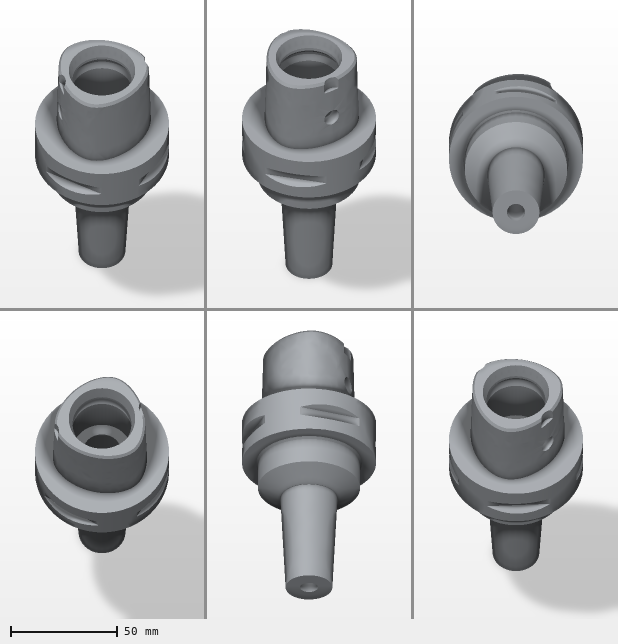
import cadquery as cq
import math

total_height = 128.0
stem_top_z = 48.5
shoulder_z = 54.7
groove_bottom_z = 67.0
flange_bottom_z = 68.1
flange_top_z = 90.1

stem_end_radius = 11.0
stem_top_radius = 13.5
cone_end_radius = 13.7
collar_radius = 24.0
collar_flare = 0.8
flange_radius = 31.5

polygon_base_radius = 22.1
polygon_taper_ratio = 1 / 40
lobe_height = 1.3
lobe_count = 3
points_per_curve = 48
polygon_chamfer_width = 1.0
polygon_chamfer_height = 1.3

mouth_radius = 15.6
lip_radius = 13.8
lip_start_depth = 6.3
lip_end_depth = 7.8
undercut_radius = 15.9
undercut_start_depth = 10.2
undercut_end_depth = 11.6
chamber_radius = 14.1
chamber_start_depth = 14.3
chamber_end_depth = 37.9
lower_bore_radius = 9.1
lower_bore_end_depth = 57.6
through_radius = 4.2

notch_depth = 6.4
notch_width = 8.2
notch_radius = 5.1
notch_front_y = -17.9
notch_back_y = 21.0

side_hole_radius = 4.1
side_hole_z = 105.6
side_hole_floor_y = -14.7

gripper_z = 78.1
gripper_floor_distance = 27.8
gripper_floor_height = 4.2
gripper_wall_angle = 26.0
gripper_angles = (45, 135, 225, 315)


def turned_body():
    """Stem, shoulder cone, collar and flange as one revolved profile."""
    profile = [
        (0, 0),
        (stem_end_radius, 0),
        (stem_top_radius, stem_top_z),
        (cone_end_radius, stem_top_z),
        (collar_radius, shoulder_z),
        (collar_radius, groove_bottom_z),
        (collar_radius + collar_flare, flange_bottom_z),
        (flange_radius, flange_bottom_z),
        (flange_radius, flange_top_z),
        (0, flange_top_z),
    ]
    return cq.Workplane("XZ").polyline(profile).close().revolve(360, (0, 0), (0, 1))


def polygon_wire(mean_radius, z):
    """Closed constant-width curve with three lobes, one of them toward +Y."""

    def point(angle):
        lobe_angle = lobe_count * (angle - math.pi / 2)
        reach = mean_radius + lobe_height * math.cos(lobe_angle)
        slope = -lobe_count * lobe_height * math.sin(lobe_angle)
        x = reach * math.cos(angle) - slope * math.sin(angle)
        y = reach * math.sin(angle) + slope * math.cos(angle)
        return cq.Vector(x, y, z)

    angle_step = 2 * math.pi / points_per_curve
    points = [point(i * angle_step) for i in range(points_per_curve)]
    return cq.Wire.assembleEdges([cq.Edge.makeSpline(points, periodic=True)])


def polygon_shank():
    """Tapered shank with a chamfered rim."""
    rim_z = total_height - polygon_chamfer_height
    rim_radius = polygon_base_radius - (rim_z - flange_top_z) * polygon_taper_ratio
    base = polygon_wire(polygon_base_radius, flange_top_z)
    rim = polygon_wire(rim_radius, rim_z)
    top = polygon_wire(rim_radius - polygon_chamfer_width, total_height)
    taper = cq.Solid.makeLoft([base, rim], True)
    chamfer = cq.Solid.makeLoft([rim, top], True)
    return cq.Workplane(taper).union(cq.Workplane(chamfer))


def cavity():
    """Conical mouth, lip, undercut, chamber, lower bore and through hole."""
    steps = [
        (mouth_radius, 0),
        (lip_radius, lip_start_depth),
        (lip_radius, lip_end_depth),
        (undercut_radius, undercut_start_depth),
        (undercut_radius, undercut_end_depth),
        (chamber_radius, chamber_start_depth),
        (chamber_radius, chamber_end_depth),
        (lower_bore_radius, chamber_end_depth),
        (lower_bore_radius, lower_bore_end_depth),
        (through_radius, lower_bore_end_depth),
        (through_radius, total_height),
    ]
    profile = [(0, total_height)]
    profile += [(radius, total_height - depth) for radius, depth in steps]
    profile.append((0, 0))
    return cq.Workplane("XZ").polyline(profile).close().revolve(360, (0, 0), (0, 1))


def key_notches():
    """Straight-sided notches with rounded backs, in the rim on the -Y and +Y sides."""
    centers = [(0, notch_front_y - notch_radius), (0, notch_back_y + notch_radius)]
    floor = cq.Workplane("XY").workplane(offset=total_height - notch_depth)
    scoops = floor.pushPoints(centers).circle(notch_radius).extrude(notch_depth)
    side_walls = floor.rect(notch_width, 2 * flange_radius).extrude(notch_depth)
    return scoops.intersect(side_walls)


def side_hole():
    """Flat-bottomed radial hole entering from -Y."""
    floor = cq.Workplane("XZ", origin=(0, side_hole_floor_y, side_hole_z))
    return floor.circle(side_hole_radius).extrude(flange_radius + side_hole_floor_y)


def gripper_groove(angle):
    """Straight trapezoidal groove across the flange, facing the given angle."""
    depth = flange_radius - gripper_floor_distance
    floor_half = gripper_floor_height / 2
    mouth_half = floor_half + depth * math.tan(math.radians(gripper_wall_angle))
    section = [
        (gripper_floor_distance, gripper_z - floor_half),
        (flange_radius, gripper_z - mouth_half),
        (flange_radius, gripper_z + mouth_half),
        (gripper_floor_distance, gripper_z + floor_half),
    ]
    groove = cq.Workplane("XZ").polyline(section).close().extrude(flange_radius, both=True)
    return groove.rotate((0, 0, 0), (0, 0, 1), angle)


result = turned_body().union(polygon_shank())
result = result.cut(cavity()).cut(key_notches()).cut(side_hole())
for groove_angle in gripper_angles:
    result = result.cut(gripper_groove(groove_angle))